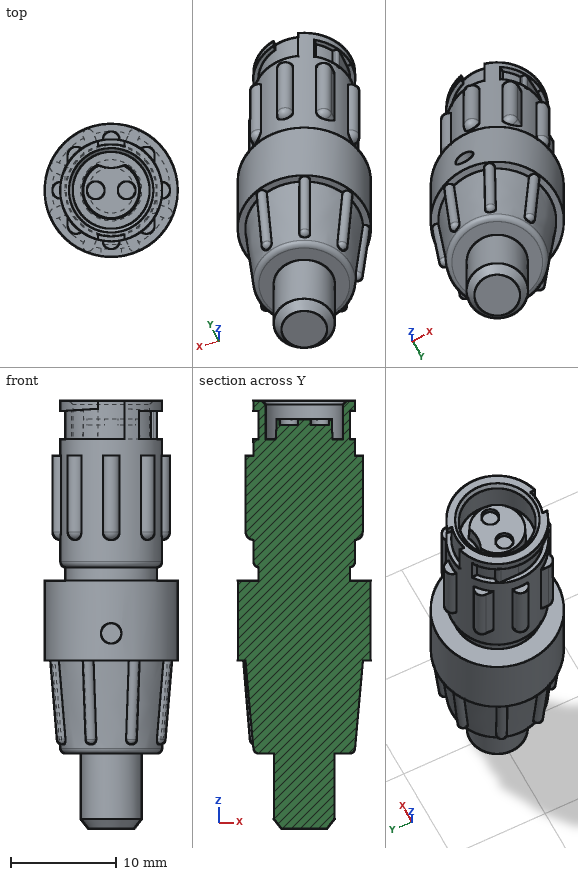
import cadquery as cq
import math

total_height = 40.77
skirt_bottom = 7.16
collar_bottom = 16.02
collar_height = 7.62
collar_top = collar_bottom + collar_height
body_bottom = 24.88
groove_bottom = 37.12
lip_thickness = 1.0
groove_top = total_height - lip_thickness

stem_radius = 2.92
collar_radius = 6.35
body_radius = 4.86
neck_radius = 4.385
skirt_bottom_radius = 4.82

stem_chamfer_height = 0.95
stem_chamfer_width = 0.75
body_edge_fillet = 0.58
skirt_edge_fillet = 0.55
skirt_taper = math.radians(5.15)

rib_count = 8
rib_step = 360 / rib_count
body_rib_radius = 0.8
axial_rib_axis_radius = 4.8
diagonal_rib_axis_radius = 4.73
body_rib_top = 35.55
body_rib_round_start = 28.29
body_rib_widening = 1.2

skirt_rib_radius = 0.52
skirt_rib_round_start = 8.56
skirt_rib_embed = 0.2
skirt_rib_lift = 0.1

entry_half_width = 1.27
groove_end_x = 2.64
lead_in_rise = 0.23
detent_half_width = 2.2
detent_fillet = 0.36
cut_margin = 1.0

bore_radius = 3.66
bore_chamfer = 0.36
insert_base_radius = 2.74
insert_draft_degrees = 2.5
insert_top_recess = 1.75
keyway_radius = 3.2
keyway_bottom_y = 2.13
contact_hole_radius = 0.85
contact_hole_offset = 1.476
contact_hole_depth = 0.55

collar_hole_radius = 0.97
collar_hole_height = 18.62
collar_hole_depth = 1.2


def cylinder(radius, bottom, top):
    return cq.Workplane("XY").workplane(offset=bottom).circle(radius).extrude(top - bottom)


def block(x_min, x_max, y_min, y_max, z_min, z_max):
    size = (x_max - x_min, y_max - y_min, z_max - z_min)
    return cq.Workplane("XY").box(*size, centered=False).translate((x_min, y_min, z_min))


def skirt_radius_at(height):
    return skirt_bottom_radius + (height - skirt_bottom) * math.tan(skirt_taper)


def make_stem():
    return (
        cq.Workplane("XZ")
        .moveTo(0, 0)
        .lineTo(stem_radius - stem_chamfer_width, 0)
        .lineTo(stem_radius, stem_chamfer_height)
        .lineTo(stem_radius, collar_bottom)
        .lineTo(0, collar_bottom)
        .close()
        .revolve(360, (0, 0), (0, 1))
    )


def make_skirt():
    skirt = (
        cq.Workplane("XZ")
        .moveTo(0, skirt_bottom)
        .lineTo(skirt_bottom_radius, skirt_bottom)
        .lineTo(skirt_radius_at(collar_bottom), collar_bottom)
        .lineTo(0, collar_bottom)
        .close()
        .revolve(360, (0, 0), (0, 1))
    )
    return skirt.faces("<Z").edges().fillet(skirt_edge_fillet)


def make_skirt_rib():
    """Round rib along the skirt in the XZ plane, with a spherical lower end."""
    start_x = skirt_radius_at(skirt_rib_round_start) + skirt_rib_lift
    start = cq.Vector(start_x, 0, skirt_rib_round_start)
    direction = cq.Vector(math.sin(skirt_taper), 0, math.cos(skirt_taper))
    rise = collar_bottom + skirt_rib_embed - skirt_rib_round_start
    length = rise / math.cos(skirt_taper)
    shaft = cq.Workplane(cq.Solid.makeCylinder(skirt_rib_radius, length, start, direction))
    tip = cq.Workplane("XY").sphere(skirt_rib_radius).translate(start.toTuple())
    return shaft.union(tip)


def make_body():
    body = cylinder(body_radius, body_bottom, total_height)
    body = body.faces("<Z").edges().fillet(body_edge_fillet)
    return body.union(cylinder(neck_radius, collar_top, body_bottom))


def make_body_rib(index):
    """Round rib with a spherical lower end; diagonal ribs are widened towards the X axis."""
    angle = math.radians(index * rib_step)
    is_diagonal = index % 2 == 1
    axis_radius = diagonal_rib_axis_radius if is_diagonal else axial_rib_axis_radius
    x = axis_radius * math.cos(angle)
    y = axis_radius * math.sin(angle)
    shaft = cylinder(body_rib_radius, body_rib_round_start, body_rib_top)
    tip = cq.Workplane("XY").sphere(body_rib_radius).translate((0, 0, body_rib_round_start))
    rib = shaft.union(tip)
    if is_diagonal:
        widening = (
            cq.Workplane("XZ")
            .moveTo(-body_rib_radius, body_rib_top)
            .lineTo(-body_rib_radius, body_rib_round_start)
            .threePointArc(
                (0, body_rib_round_start - body_rib_radius),
                (body_rib_radius, body_rib_round_start),
            )
            .lineTo(body_rib_radius, body_rib_top)
            .close()
            .extrude(math.copysign(body_rib_widening, y))
        )
        rib = rib.union(widening)
    return rib.translate((x, y, 0))


def make_bayonet_cut():
    """Entry slot on the -Y side and the groove running from it around the -X side.

    The groove roof slopes up towards the slot, and a flat detent stands on the groove floor.
    """
    outer = body_radius + cut_margin
    ring = cylinder(outer, groove_bottom, total_height).cut(
        cylinder(neck_radius, groove_bottom, total_height)
    )
    groove = block(-outer, entry_half_width, -outer, 0, groove_bottom, groove_top)
    groove = groove.union(block(-outer, -groove_end_x, 0, outer, groove_bottom, groove_top))
    detent = block(-neck_radius, 0, 0, detent_half_width, groove_bottom, groove_top)
    detent = detent.edges("|Z and <X and >Y").fillet(detent_fillet)
    entry = block(-entry_half_width, entry_half_width, -outer, 0, groove_bottom, total_height)
    lead_in_slope = lead_in_rise / (body_radius - entry_half_width)
    lead_in = (
        cq.Workplane("XZ")
        .moveTo(-body_radius, groove_top)
        .lineTo(0, groove_top)
        .lineTo(0, groove_top + lead_in_slope * body_radius)
        .close()
        .extrude(outer)
    )
    return ring.intersect(groove.cut(detent).union(entry).union(lead_in))


def make_bore():
    """Socket bore with a chamfered mouth; its floor is level with the groove bottom."""
    return (
        cq.Workplane("XZ")
        .moveTo(0, groove_bottom)
        .lineTo(bore_radius, groove_bottom)
        .lineTo(bore_radius, total_height - bore_chamfer)
        .lineTo(bore_radius + bore_chamfer, total_height)
        .lineTo(0, total_height)
        .close()
        .revolve(360, (0, 0), (0, 1))
    )


def make_insert():
    top = total_height - insert_top_recess
    insert = (
        cq.Workplane("XY")
        .workplane(offset=groove_bottom)
        .circle(insert_base_radius)
        .extrude(top - groove_bottom, taper=insert_draft_degrees)
    )
    keyway = cylinder(keyway_radius, groove_bottom, top)
    insert = insert.cut(keyway.translate((0, keyway_bottom_y + keyway_radius, 0)))
    for side in (-1, 1):
        hole = cylinder(contact_hole_radius, top - contact_hole_depth, top)
        insert = insert.cut(hole.translate((side * contact_hole_offset, 0, 0)))
    return insert


def make_collar():
    collar = cylinder(collar_radius, collar_bottom, collar_top)
    hole = (
        cq.Workplane("XZ", origin=(0, -collar_radius, 0))
        .center(0, collar_hole_height)
        .circle(collar_hole_radius)
        .extrude(-collar_hole_depth)
    )
    return collar.cut(hole)


result = make_stem().union(make_skirt()).union(make_collar()).union(make_body())

for index in range(rib_count):
    result = result.union(make_body_rib(index))
    skirt_rib_angle = (index + 0.5) * rib_step
    result = result.union(make_skirt_rib().rotate((0, 0, 0), (0, 0, 1), skirt_rib_angle))

for turn in (0, 180):
    result = result.cut(make_bayonet_cut().rotate((0, 0, 0), (0, 0, 1), turn))

result = result.cut(make_bore()).union(make_insert())